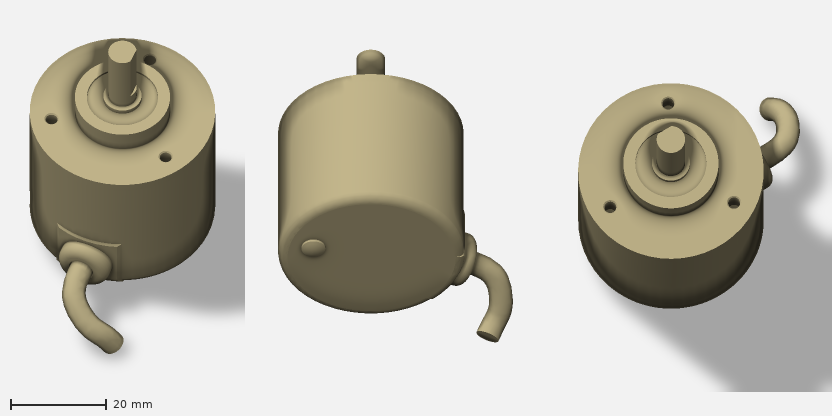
import cadquery as cq
import math

body_radius = 19.5
can_height = 32.0
bottom_fillet = 2.0

pad_rise = 0.35
pad_radius = body_radius + pad_rise
pad_top = 13.6
pad_bevel_height = 0.5
pad_half_width = 7.5
pad_facet_width = 0.45
pad_side_depth = 17.9
pad_middle_depth = 18.3

flange_thickness = 2.0
flange_top = can_height + flange_thickness
boss_diameter = 20.0
boss_height = 5.0
boss_top = flange_top + boss_height
boss_base_fillet = 0.2
recess_diameter = 14.9
recess_chamfer = 0.05
recess_depth = 0.5
recess_floor = boss_top - recess_depth

hole_count = 3
hole_circle_radius = 15.0
hole_diameter = 2.5
hole_mouth_diameter = 3.0
hole_straight_depth = 5.0
hole_tip_height = 0.7

shaft_diameter = 6.0
shaft_top = 54.45
collar_diameter = 8.0
collar_height = 0.5
flat_offset = 2.5
flat_length = 12.0

grommet_diameter = 11.4
grommet_height_z = 6.45
grommet_inner_y = -18.6
grommet_outer_y = -22.5
grommet_fillet = 2.0
cable_diameter = 5.0
cable_hole_diameter = 5.5
cable_hole_depth = 1.75
cable_start_y = grommet_outer_y + cable_hole_depth

button_x = 1.6
button_y = 12.45
button_diameter = 5.0
button_rim = 0.5
button_dome = 0.7


def disc(diameter, bottom, top):
    """Cylinder on the main axis between two heights."""
    return cq.Workplane("XY").workplane(offset=bottom).circle(diameter / 2).extrude(top - bottom)


def make_pad():
    """Curved pad: a bevelled plan outline limited by a revolved envelope."""
    middle_x = pad_half_width - pad_facet_width
    face_x = middle_x - pad_facet_width
    face_depth = math.sqrt(pad_radius**2 - face_x**2)
    outline = (
        cq.Workplane("XY")
        .moveTo(-pad_half_width, 0)
        .lineTo(-pad_half_width, -pad_side_depth)
        .lineTo(-middle_x, -pad_middle_depth)
        .lineTo(-face_x, -face_depth)
        .threePointArc((0, -pad_radius), (face_x, -face_depth))
        .lineTo(middle_x, -pad_middle_depth)
        .lineTo(pad_half_width, -pad_side_depth)
        .lineTo(pad_half_width, 0)
        .close()
        .extrude(pad_top)
    )
    arc_middle = bottom_fillet * math.sqrt(0.5)
    envelope = (
        cq.Workplane("XZ")
        .lineTo(pad_radius - bottom_fillet, 0)
        .threePointArc(
            (pad_radius - bottom_fillet + arc_middle, bottom_fillet - arc_middle),
            (pad_radius, bottom_fillet),
        )
        .lineTo(pad_radius, pad_top - pad_bevel_height)
        .lineTo(body_radius, pad_top)
        .lineTo(0, pad_top)
        .close()
        .revolve(360, (0, 0, 0), (0, 1, 0))
    )
    return outline.intersect(envelope)


def make_housing():
    can = disc(2 * body_radius, 0, can_height).faces("<Z").edges().fillet(bottom_fillet)
    return cut_mounting_holes(can.union(make_pad()))


def make_mounting_hole():
    """Cutter for one hole, with a chamfered mouth and a conical tip, mouth at the origin."""
    radius = hole_diameter / 2
    mouth_radius = hole_mouth_diameter / 2
    return (
        cq.Workplane("XZ")
        .lineTo(mouth_radius, 0)
        .lineTo(radius, radius - mouth_radius)
        .lineTo(radius, -hole_straight_depth)
        .lineTo(0, -hole_straight_depth - hole_tip_height)
        .close()
        .revolve(360, (0, 0, 0), (0, 1, 0))
    )


def cut_mounting_holes(body):
    """Cut the ring of holes, which run through the flange into the can."""
    for index in range(hole_count):
        angle = 90 + index * 360 / hole_count
        hole = make_mounting_hole().translate((hole_circle_radius, 0, flange_top))
        body = body.cut(hole.rotate((0, 0, 0), (0, 0, 1), angle))
    return body


def make_flange():
    plate = disc(2 * body_radius, can_height, flange_top)
    flange = plate.union(disc(boss_diameter, flange_top, boss_top))
    boss_base = flange.faces(">Z[-2]").edges(cq.selectors.RadiusNthSelector(0))
    flange = boss_base.fillet(boss_base_fillet)
    flange = flange.cut(disc(recess_diameter, recess_floor, boss_top))
    recess_mouth = flange.faces(">Z").edges(cq.selectors.RadiusNthSelector(0))
    flange = recess_mouth.chamfer(recess_chamfer)
    flange = flange.cut(disc(shaft_diameter, can_height, recess_floor))
    return cut_mounting_holes(flange)


def make_shaft():
    """Shaft running through the flange, its collar resting on the recess floor."""
    shaft = disc(shaft_diameter, can_height, shaft_top)
    flat_cut = (
        cq.Workplane("XY")
        .box(shaft_diameter, shaft_diameter, flat_length, centered=(False, True, False))
        .translate((flat_offset, 0, shaft_top - flat_length))
    )
    collar = disc(collar_diameter, recess_floor, boss_top + collar_height)
    return shaft.cut(flat_cut).union(collar)


def cable_plane(y):
    """Plane facing -Y on the cable exit axis."""
    return cq.Workplane("XZ", origin=(0, y, grommet_height_z))


def make_grommet(housing):
    """Rounded grommet seated on the pad, with a blind hole for the cable."""
    grommet = (
        cable_plane(grommet_inner_y)
        .circle(grommet_diameter / 2)
        .extrude(grommet_inner_y - grommet_outer_y)
        .faces("<Y").edges().fillet(grommet_fillet)
    )
    hole = cable_plane(cable_start_y).circle(cable_hole_diameter / 2).extrude(cable_hole_depth)
    return grommet.cut(hole).cut(housing)


def make_cable():
    """Cable leaving along -Y, then curling towards +X and down."""
    centreline = [
        cq.Vector(0, cable_start_y, grommet_height_z),
        cq.Vector(1.75, -29.8, 4.75),
        cq.Vector(6.4, -32.45, 2.0),
        cq.Vector(11.1, -31.6, -2.5),
    ]
    end_directions = [cq.Vector(0, -1, 0), cq.Vector(0.45, 0.2, -0.87)]
    path = cq.Edge.makeSpline(centreline, tangents=end_directions)
    return cable_plane(cable_start_y).circle(cable_diameter / 2).sweep(cq.Workplane(path))


def make_button():
    """Low domed button on the underside of the housing."""
    radius = button_diameter / 2
    sphere_radius = (radius**2 + button_dome**2) / (2 * button_dome)
    half_angle = math.asin(radius / sphere_radius) / 2
    tip = -button_rim - button_dome
    arc_point = (
        sphere_radius * math.sin(half_angle),
        tip + sphere_radius * (1 - math.cos(half_angle)),
    )
    return (
        cq.Workplane("XZ")
        .lineTo(radius, 0)
        .lineTo(radius, -button_rim)
        .threePointArc(arc_point, (0, tip))
        .close()
        .revolve(360, (0, 0, 0), (0, 1, 0))
        .translate((button_x, button_y, 0))
    )


housing = make_housing()
flange = make_flange()
shaft = make_shaft()
grommet = make_grommet(housing)
cable = make_cable()
button = make_button()

result = cq.Compound.makeCompound([
    housing.val(),
    flange.val(),
    shaft.val(),
    grommet.val(),
    cable.val(),
    button.val(),
])